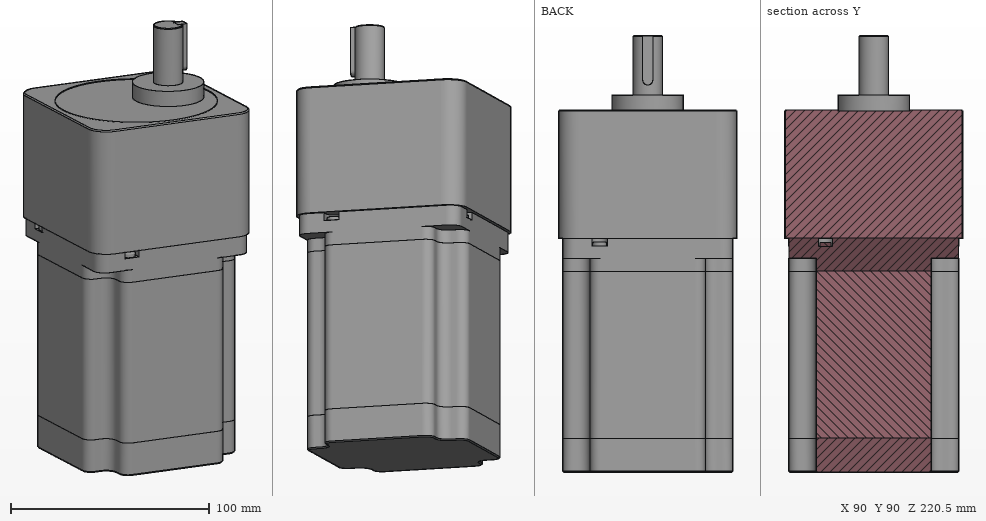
import cadquery as cq

TOTAL_HEIGHT = 220.5
SHAFT_LENGTH = 30.0
BOSS_HEIGHT = 7.5
CASE_HEIGHT = 64.8
FLANGE_SQUARE_HEIGHT = 10.1
FLANGE_HEIGHT = 16.8
STATOR_HEIGHT = 84.2

BOSS_TOP = TOTAL_HEIGHT - SHAFT_LENGTH
CASE_TOP = BOSS_TOP - BOSS_HEIGHT
FLANGE_TOP = CASE_TOP - CASE_HEIGHT
FLANGE_BOTTOM = FLANGE_TOP - FLANGE_HEIGHT
STATOR_BOTTOM = FLANGE_BOTTOM - STATOR_HEIGHT

CASE_WIDTH = 90.0
CASE_CORNER_RADIUS = 10.1
CASE_CHAMFER = 0.7
FACE_RECESS_DIAMETER = 82.0
FACE_RECESS_DEPTH = 0.5
BOSS_DIAMETER = 36.2

SHAFT_OFFSET = 18.0
SHAFT_DIAMETER = 15.0
SHAFT_CHAMFER = 0.5
KEY_WIDTH = 5.0
KEY_LENGTH = 25.0
KEY_INNER = 4.5
KEY_OUTER = 9.5

MOTOR_WIDTH = 86.0
FLANGE_CORNER_RADIUS = 6.2
NOTCH_SIZE = 14.0
NOTCH_OUTER_RADIUS = 5.0
NOTCH_INNER_RADIUS = 5.7
CAP_CHAMFER = 0.7

SCREW_COUNT = 4
SCREW_ALONG = 24.3
SCREW_ACROSS = 38.8
SCREW_HEAD_DIAMETER = 7.0
SCREW_HEAD_HEIGHT = 2.0
SCREW_HEAD_FILLET = 0.5
SCREW_POCKET_WIDTH = 8.0
SCREW_POCKET_DEPTH = 4.0


def make_key():
    """Key flush with the end of the shaft, with a half-round lower end."""
    radius = KEY_WIDTH / 2
    key_bottom = TOTAL_HEIGHT - KEY_LENGTH
    return (
        cq.Workplane("XZ", origin=(0, SHAFT_OFFSET + KEY_INNER, 0))
        .moveTo(-radius, TOTAL_HEIGHT)
        .lineTo(-radius, key_bottom + radius)
        .threePointArc((0, key_bottom), (radius, key_bottom + radius))
        .lineTo(radius, TOTAL_HEIGHT)
        .close()
        .extrude(KEY_INNER - KEY_OUTER)
    )


def make_gear_case(key):
    """Square case with its boss and off-centre output shaft, keyway cut to fit the key."""
    case = (
        cq.Workplane("XY", origin=(0, 0, FLANGE_TOP))
        .rect(CASE_WIDTH, CASE_WIDTH)
        .extrude(CASE_HEIGHT)
        .edges("|Z")
        .fillet(CASE_CORNER_RADIUS)
        .faces(">Z")
        .chamfer(CASE_CHAMFER)
    )
    recess_floor = CASE_TOP - FACE_RECESS_DEPTH
    recess = (
        cq.Workplane("XY", origin=(0, 0, recess_floor))
        .circle(FACE_RECESS_DIAMETER / 2)
        .extrude(FACE_RECESS_DEPTH)
    )
    boss = (
        cq.Workplane("XY", origin=(0, SHAFT_OFFSET, recess_floor))
        .circle(BOSS_DIAMETER / 2)
        .extrude(BOSS_TOP - recess_floor)
    )
    shaft = (
        cq.Workplane("XY", origin=(0, SHAFT_OFFSET, BOSS_TOP))
        .circle(SHAFT_DIAMETER / 2)
        .extrude(SHAFT_LENGTH)
        .faces(">Z")
        .chamfer(SHAFT_CHAMFER)
    )
    return case.cut(recess).union(boss).union(shaft).cut(key)


def notched_prism(bottom, height):
    """Square motor section with a rounded notch running up each corner."""
    half = MOTOR_WIDTH / 2
    notch_edge = half - NOTCH_SIZE
    cross = (
        cq.Workplane("XY", origin=(0, 0, bottom))
        .rect(MOTOR_WIDTH, 2 * notch_edge)
        .extrude(height)
        .union(
            cq.Workplane("XY", origin=(0, 0, bottom))
            .rect(2 * notch_edge, MOTOR_WIDTH)
            .extrude(height)
        )
    )
    reach = half - NOTCH_SIZE / 2
    inner_corners = cq.selectors.BoxSelector((-reach, -reach, 0), (reach, reach, TOTAL_HEIGHT))
    return (
        cross.edges("|Z")
        .edges(inner_corners)
        .fillet(NOTCH_INNER_RADIUS)
        .edges("|Z and (<X or >X or <Y or >Y)")
        .fillet(NOTCH_OUTER_RADIUS)
    )


def around_motor(body):
    """Copies of a body made for the -Y side, one for each side of the motor."""
    return [body.rotate((0, 0, 0), (0, 0, 1), index * 360 / SCREW_COUNT) for index in range(SCREW_COUNT)]


def make_screw_pocket():
    """Round-backed pocket that sinks into the top of the flange and opens through the -Y side."""
    radius = SCREW_POCKET_WIDTH / 2
    left = -SCREW_ALONG - radius
    right = -SCREW_ALONG + radius
    return (
        cq.Workplane("XY", origin=(0, 0, FLANGE_TOP))
        .moveTo(left, -MOTOR_WIDTH / 2)
        .lineTo(left, -SCREW_ACROSS)
        .threePointArc((-SCREW_ALONG, radius - SCREW_ACROSS), (right, -SCREW_ACROSS))
        .lineTo(right, -MOTOR_WIDTH / 2)
        .close()
        .extrude(-SCREW_POCKET_DEPTH)
    )


def make_flange():
    """Front flange: full corners above, notched below, with open screw pockets in its top."""
    square = (
        cq.Workplane("XY", origin=(0, 0, FLANGE_TOP - FLANGE_SQUARE_HEIGHT))
        .rect(MOTOR_WIDTH, MOTOR_WIDTH)
        .extrude(FLANGE_SQUARE_HEIGHT)
        .edges("|Z")
        .fillet(FLANGE_CORNER_RADIUS)
    )
    flange = square.union(notched_prism(FLANGE_BOTTOM, FLANGE_HEIGHT - FLANGE_SQUARE_HEIGHT))
    for pocket in around_motor(make_screw_pocket()):
        flange = flange.cut(pocket)
    return flange


def make_screw():
    """Screw head standing on the floor of the pocket in the -Y side."""
    return (
        cq.Workplane("XY", origin=(-SCREW_ALONG, -SCREW_ACROSS, FLANGE_TOP - SCREW_POCKET_DEPTH))
        .circle(SCREW_HEAD_DIAMETER / 2)
        .extrude(SCREW_HEAD_HEIGHT)
        .faces(">Z")
        .fillet(SCREW_HEAD_FILLET)
    )


key = make_key()
gear_case = make_gear_case(key)
flange = make_flange()
stator = notched_prism(STATOR_BOTTOM, STATOR_HEIGHT)
end_cap = notched_prism(0, STATOR_BOTTOM).faces("<Z").chamfer(CAP_CHAMFER)
screws = around_motor(make_screw())

result = cq.Compound.makeCompound(
    [body.val() for body in (gear_case, key, flange, stator, end_cap, *screws)]
)